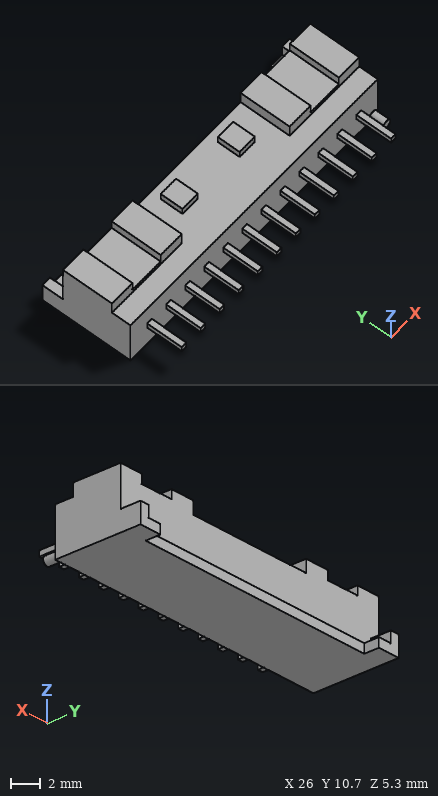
import cadquery as cq

length = 26.0
housing_depth = 7.7
housing_height = 4.2
overall_height = 5.3

ledge_depth = 1.8
ledge_height = 1.8
tab_width = 2.0
tab_reach = 1.33
side_wall = 0.8
floor_thickness = side_wall
wall_back = housing_depth - ledge_depth

guide_front = 1.6
guide_depth = wall_back - guide_front
outer_block_end = 2.15
inner_block_start = 5.12
inner_block_end = 7.33
web_height = 4.52

pad_spacing = 6.0
pad_width = 1.6
pad_depth = 1.9
pad_height = 4.8
pad_front = 3.1

pin_count = 12
pin_span = 22.0
pin_pitch = pin_span / (pin_count - 1)
pin_size = 0.5
pin_length = 3.02
pin_z = 2.2

peg_diameter = 0.8
peg_length = 1.2
peg_edge_offset = 0.52
peg_x = length / 2 - peg_edge_offset
peg_z = 0.5


def block(x_start, x_end, y_start, y_end, z_start, z_end):
    """Box spanning the given limits along each axis."""
    size = (x_end - x_start, y_end - y_start, z_end - z_start)
    return cq.Workplane("XY").box(*size, centered=False).translate((x_start, y_start, z_start))


def make_housing():
    """Stepped body with a walled ledge and a gap between the back tabs."""
    half = length / 2
    body = block(-half, half, 0, wall_back, 0, housing_height)
    ledge = block(-half, half, wall_back, housing_depth, 0, ledge_height)
    recess = block(
        side_wall - half, half - side_wall, wall_back, housing_depth, floor_thickness, ledge_height
    )
    gap = block(
        tab_width - half, half - tab_width, housing_depth - tab_reach, housing_depth, 0, ledge_height
    )
    return body.union(ledge.cut(recess).cut(gap))


def make_left_guide():
    """Two raised blocks with a lower web between them, at the -X end."""
    end = -length / 2
    return (
        cq.Workplane("XZ", origin=(0, guide_front, 0))
        .moveTo(end, housing_height)
        .lineTo(end, overall_height)
        .lineTo(end + outer_block_end, overall_height)
        .lineTo(end + outer_block_end, web_height)
        .lineTo(end + inner_block_start, web_height)
        .lineTo(end + inner_block_start, overall_height)
        .lineTo(end + inner_block_end, overall_height)
        .lineTo(end + inner_block_end, housing_height)
        .close()
        .extrude(-guide_depth)
    )


def make_pad(x_center):
    return block(
        x_center - pad_width / 2, x_center + pad_width / 2,
        pad_front, pad_front + pad_depth,
        housing_height, pad_height,
    )


def make_pins():
    """Row of square pins standing out of the face at Y = 0."""
    return (
        cq.Workplane("XZ", origin=(0, 0, pin_z))
        .rarray(pin_pitch, 0.25, pin_count, 1)
        .rect(pin_size, pin_size)
        .extrude(pin_length)
    )


def make_peg():
    return cq.Workplane("XZ", origin=(peg_x, 0, peg_z)).circle(peg_diameter / 2).extrude(peg_length)


left_guide = make_left_guide()
result = make_housing().union(left_guide).union(left_guide.mirror("YZ"))
for pad_x in (-pad_spacing / 2, pad_spacing / 2):
    result = result.union(make_pad(pad_x))
result = result.union(make_pins()).union(make_peg())